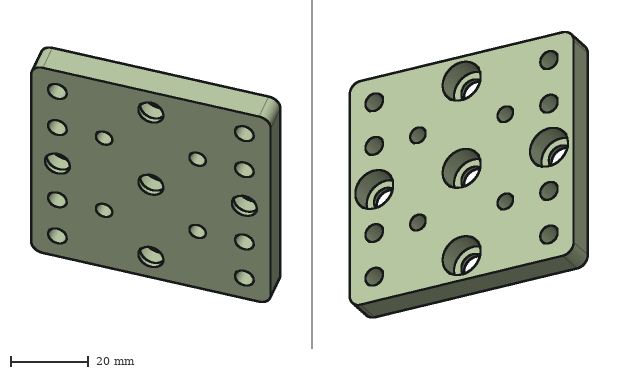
import cadquery as cq

side = 65.0
thickness = 8.0
corner_radius = 3.2

pitch = 12.7
edge = 2 * pitch
large_diameter = 6.75
medium_diameter = 5.1
small_diameter = 4.5

bore_diameter = 11.0
lip = 1.6

large_points = [(0, 0), (edge, 0), (-edge, 0), (0, edge), (0, -edge)]
medium_points = [(x, z) for x in (-edge, edge) for z in (-edge, -pitch, pitch, edge)]
small_points = [(x, z) for x in (-pitch, pitch) for z in (-pitch, pitch)]


def hole_cutters(points, diameter, depth):
    """Cylinders entering from the +Y face at the given (x, z) points."""
    back_face = cq.Workplane("XZ", origin=(0, thickness / 2, 0))
    return back_face.pushPoints(points).circle(diameter / 2).extrude(depth)


result = cq.Workplane("XY").box(side, thickness, side).edges("|Y").fillet(corner_radius)

result = result.cut(hole_cutters(large_points, large_diameter, thickness))
result = result.cut(hole_cutters(medium_points, medium_diameter, thickness))
result = result.cut(hole_cutters(small_points, small_diameter, thickness))

result = result.cut(hole_cutters(large_points, bore_diameter, thickness - lip))